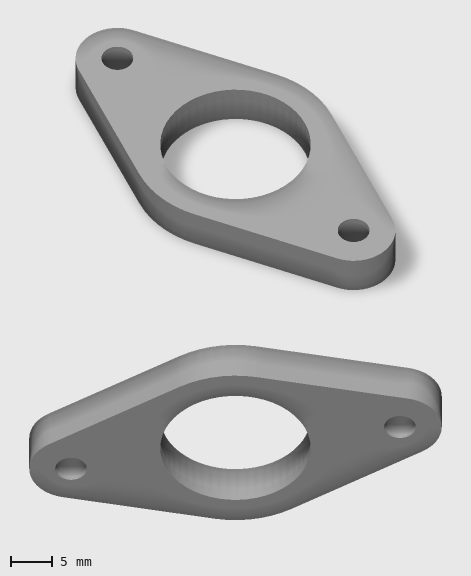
import cadquery as cq
import math

length = 50.0
width = 25.0
thickness = 5.1
bore_diameter = 18.0
bolt_hole_diameter = 3.8
bolt_spacing = 40.0

bolt_x = bolt_spacing / 2
center_radius = width / 2
end_radius = length / 2 - bolt_x

tangent_angle = math.acos((center_radius - end_radius) / bolt_x)


def tangent_point(circle_x, radius):
    """Point in the +X, +Y quadrant where a straight flank meets a circle."""
    return (
        circle_x + radius * math.cos(tangent_angle),
        radius * math.sin(tangent_angle),
    )


center_x, center_y = tangent_point(0, center_radius)
end_x, end_y = tangent_point(bolt_x, end_radius)

plate = (
    cq.Workplane("XY")
    .moveTo(-center_x, center_y)
    .threePointArc((0, center_radius), (center_x, center_y))
    .lineTo(end_x, end_y)
    .threePointArc((length / 2, 0), (end_x, -end_y))
    .lineTo(center_x, -center_y)
    .threePointArc((0, -center_radius), (-center_x, -center_y))
    .lineTo(-end_x, -end_y)
    .threePointArc((-length / 2, 0), (-end_x, end_y))
    .close()
    .extrude(thickness)
)

plate = plate.faces(">Z").workplane(origin=(0, 0, 0)).hole(bore_diameter)

result = (
    plate.faces(">Z")
    .workplane(origin=(0, 0, 0))
    .pushPoints([(-bolt_x, 0), (bolt_x, 0)])
    .hole(bolt_hole_diameter)
)